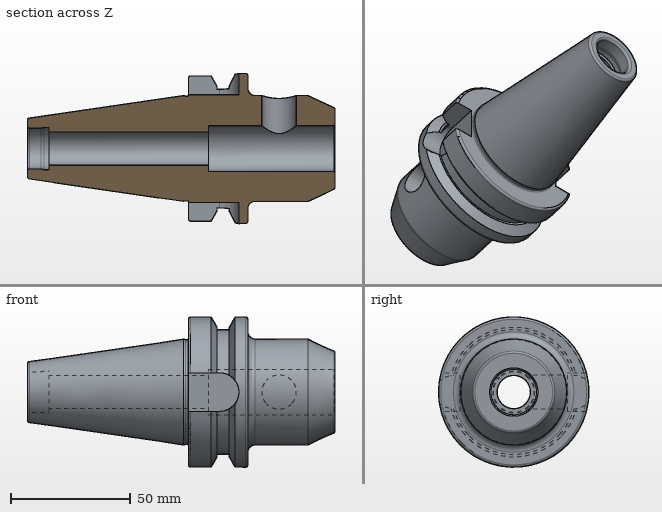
import cadquery as cq
import math


TAPER_LENGTH = 65.4
GAUGE_DIAMETER = 44.45
TAPER_RATIO = 7 / 24
NECK_DIAMETER = 44.0
NECK_CHAMFER_LENGTH = 0.8
NECK_ROOT_FILLET = 0.4

FLANGE_DIAMETER = 63.0
FLANGE_START = 2.0
FLANGE_END = 27.0
GROOVE_CENTRE = 16.6
GROOVE_MOUTH_WIDTH = 10.0
GROOVE_FLOOR_WIDTH = 5.0
GROOVE_FLOOR_DIAMETER = 52.3
GROOVE_FLANK_ANGLE = math.radians(60)

KEYWAY_WIDTH = 16.1
KEYWAY_END = 23.2
KEYWAY_FLOOR = 22.6

NOSE_DIAMETER = 44.45
NOSE_END = 63.5
NOSE_CONE_START = 52.1
NOSE_CONE_ANGLE = math.radians(25)
NOSE_ROOT_FILLET = 3.0
EDGE_FILLET = 1.0

PILOT_DIAMETER = 17.0
PILOT_DEPTH = 5.8
RELIEF_DIAMETER = 17.6
RELIEF_DEPTH = 9.0
RELIEF_TAPER_ANGLE = math.radians(15)
THREAD_BORE_DIAMETER = 13.84

TOOL_BORE_DIAMETER = 19.05
TOOL_BORE_DEPTH = 53.0
TOOL_BORE_MOUTH_DIAMETER = 20.25

SCREW_DIAMETER = 14.35
SCREW_X = 40.0


def revolve_profile(profile):
    """Revolve a closed half profile, drawn as (x, radius), about the X axis."""
    return profile.close().revolve(360, (0, 0, 0), (1, 0, 0))


def edges_at(body, x, radius):
    """Select the circular edges with the given axial position and radius."""
    tolerance = 0.01
    found = [
        edge for edge in body.edges("%CIRCLE").vals()
        if abs(edge.Center().x - x) < tolerance and abs(edge.radius() - radius) < tolerance
    ]
    return body.newObject(found)


def make_body():
    """Turned outside of the holder, with its rounded edges."""
    gauge_radius = GAUGE_DIAMETER / 2
    neck_radius = NECK_DIAMETER / 2
    flange_radius = FLANGE_DIAMETER / 2
    nose_radius = NOSE_DIAMETER / 2
    small_end_radius = gauge_radius - TAPER_LENGTH * TAPER_RATIO / 2
    nose_tip_radius = nose_radius - (NOSE_END - NOSE_CONE_START) * math.tan(NOSE_CONE_ANGLE)

    half_mouth = GROOVE_MOUTH_WIDTH / 2
    half_floor = GROOVE_FLOOR_WIDTH / 2
    groove_floor_radius = GROOVE_FLOOR_DIAMETER / 2
    flank_foot_radius = flange_radius - (half_mouth - half_floor) * math.tan(GROOVE_FLANK_ANGLE)

    body = revolve_profile(
        cq.Workplane("XY")
        .moveTo(-TAPER_LENGTH, 0)
        .lineTo(-TAPER_LENGTH, small_end_radius)
        .lineTo(0, gauge_radius)
        .lineTo(NECK_CHAMFER_LENGTH, neck_radius)
        .lineTo(FLANGE_START, neck_radius)
        .lineTo(FLANGE_START, flange_radius)
        .lineTo(GROOVE_CENTRE - half_mouth, flange_radius)
        .lineTo(GROOVE_CENTRE - half_floor, flank_foot_radius)
        .lineTo(GROOVE_CENTRE - half_floor, groove_floor_radius)
        .lineTo(GROOVE_CENTRE + half_floor, groove_floor_radius)
        .lineTo(GROOVE_CENTRE + half_floor, flank_foot_radius)
        .lineTo(GROOVE_CENTRE + half_mouth, flange_radius)
        .lineTo(FLANGE_END, flange_radius)
        .lineTo(FLANGE_END, nose_radius)
        .lineTo(NOSE_CONE_START, nose_radius)
        .lineTo(NOSE_END, nose_tip_radius)
        .lineTo(NOSE_END, 0)
    )

    fillets = (
        (-TAPER_LENGTH, small_end_radius, EDGE_FILLET),
        (FLANGE_START, neck_radius, NECK_ROOT_FILLET),
        (FLANGE_START, flange_radius, EDGE_FILLET),
        (FLANGE_END, flange_radius, EDGE_FILLET),
        (FLANGE_END, nose_radius, NOSE_ROOT_FILLET),
        (NOSE_CONE_START, nose_radius, EDGE_FILLET),
        (NOSE_END, nose_tip_radius, EDGE_FILLET),
    )
    for x, radius, fillet_radius in fillets:
        body = edges_at(body, x, radius).fillet(fillet_radius)
    return body


def make_bore():
    """Stepped axial bore: stud pilot, relief, thread bore and tool bore."""
    pilot_radius = PILOT_DIAMETER / 2
    relief_radius = RELIEF_DIAMETER / 2
    thread_radius = THREAD_BORE_DIAMETER / 2
    tool_radius = TOOL_BORE_DIAMETER / 2
    mouth_radius = TOOL_BORE_MOUTH_DIAMETER / 2

    pilot_end = -TAPER_LENGTH + PILOT_DEPTH
    relief_end = -TAPER_LENGTH + RELIEF_DEPTH
    relief_taper_length = (relief_radius - pilot_radius) / math.tan(RELIEF_TAPER_ANGLE)
    tool_bore_start = NOSE_END - TOOL_BORE_DEPTH

    return revolve_profile(
        cq.Workplane("XY")
        .moveTo(-TAPER_LENGTH, 0)
        .lineTo(-TAPER_LENGTH, pilot_radius)
        .lineTo(pilot_end, pilot_radius)
        .lineTo(pilot_end + relief_taper_length, relief_radius)
        .lineTo(relief_end, relief_radius)
        .lineTo(relief_end, thread_radius)
        .lineTo(tool_bore_start, thread_radius)
        .lineTo(tool_bore_start, tool_radius)
        .lineTo(NOSE_END - (mouth_radius - tool_radius), tool_radius)
        .lineTo(NOSE_END, mouth_radius)
        .lineTo(NOSE_END, 0)
    )


def make_keyway(side):
    """Round-ended drive keyway on the +Y (side = 1) or -Y (side = -1) flank of the flange."""
    half_width = KEYWAY_WIDTH / 2
    arc_centre = KEYWAY_END - half_width
    depth = FLANGE_DIAMETER / 2 - KEYWAY_FLOOR
    cutter = (
        cq.Workplane("XZ")
        .moveTo(FLANGE_START, -half_width)
        .lineTo(arc_centre, -half_width)
        .threePointArc((KEYWAY_END, 0), (arc_centre, half_width))
        .lineTo(FLANGE_START, half_width)
        .close()
        .extrude(-depth)
        .translate((0, KEYWAY_FLOOR, 0))
    )
    return cutter if side > 0 else cutter.mirror("XZ")


def make_screw_hole():
    """Radial hole from the +Y side of the nose into the tool bore."""
    return (
        cq.Workplane("XZ")
        .center(SCREW_X, 0)
        .circle(SCREW_DIAMETER / 2)
        .extrude(-NOSE_DIAMETER / 2)
    )


result = make_body().cut(make_bore())
result = edges_at(result, -TAPER_LENGTH, PILOT_DIAMETER / 2).fillet(EDGE_FILLET)
for keyway_side in (1, -1):
    result = result.cut(make_keyway(keyway_side))
result = result.cut(make_screw_hole())